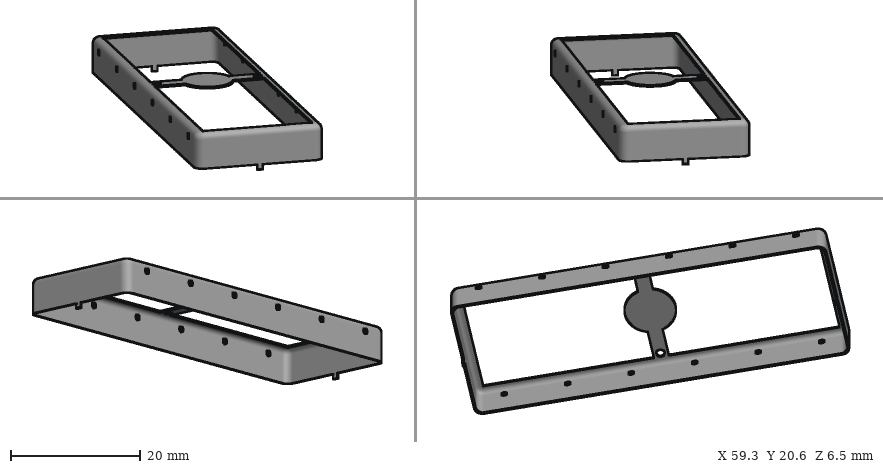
import cadquery as cq

length = 59.3
width = 20.6
total_height = 6.5
tab_height = 0.85
body_height = total_height - tab_height
corner_radius = 1.35
top_radius = 1.0

wall = 0.3
top_thickness = 0.3
rim_width = 1.5

bridge_width = 2.4
disk_diameter = 8.0
bridge_hole_diameter = 1.3
bridge_hole_offset = 8.1

side_hole_diameter = 0.9
side_hole_count = 6
side_hole_pitch = 10.0
side_hole_depth_from_top = 1.55

tab_width = 0.9
tab_thickness = 0.3
tab_lip_height = 0.1
tab_lip_overhang = 0.03

body_length = length - 2 * tab_lip_overhang


def make_shell():
    """Open-bottomed box with rounded outer edges and a thin top."""
    outer = cq.Workplane("XY").box(body_length, width, body_height, centered=(True, True, False))
    outer = outer.edges("|Z").fillet(corner_radius)
    outer = outer.faces(">Z").edges().fillet(top_radius)
    cavity = cq.Workplane("XY").box(
        body_length - 2 * wall,
        width - 2 * wall,
        body_height - top_thickness,
        centered=(True, True, False),
    )
    cavity = cavity.edges("|Z").fillet(corner_radius - wall)
    cavity = cavity.faces(">Z").edges().fillet(top_radius - wall)
    return outer.cut(cavity)


def make_window():
    """Rectangular top opening, leaving the strap and disk standing."""
    opening_length = body_length - 2 * rim_width
    opening_width = width - 2 * rim_width
    top_plane = cq.Workplane("XY").workplane(offset=body_height - top_thickness)
    opening = top_plane.rect(opening_length, opening_width).extrude(top_thickness)
    strap = top_plane.rect(bridge_width, width).extrude(top_thickness)
    disk = top_plane.circle(disk_diameter / 2).extrude(top_thickness)
    return opening.cut(strap).cut(disk)


def make_bridge_holes():
    return (
        cq.Workplane("XY")
        .pushPoints([(0, side * bridge_hole_offset) for side in (-1, 1)])
        .circle(bridge_hole_diameter / 2)
        .extrude(body_height)
    )


def make_side_holes():
    return (
        cq.Workplane("XZ")
        .center(0, body_height - side_hole_depth_from_top)
        .rarray(side_hole_pitch, 0.6, side_hole_count, 1)
        .circle(side_hole_diameter / 2)
        .extrude(width / 2, both=True)
    )


def make_tab(side):
    """Tab flush with the short wall on the given X side, with a lip at its tip."""
    stem_x = side * (body_length - tab_thickness) / 2
    stem = (
        cq.Workplane("XY")
        .box(tab_thickness, tab_width, tab_height, centered=(True, True, False))
        .translate((stem_x, 0, -tab_height))
    )
    lip_thickness = tab_thickness + tab_lip_overhang
    lip_x = side * (length - lip_thickness) / 2
    lip = (
        cq.Workplane("XY")
        .box(lip_thickness, tab_width, tab_lip_height, centered=(True, True, False))
        .translate((lip_x, 0, -tab_height))
    )
    return stem.union(lip)


result = make_shell().cut(make_window()).cut(make_bridge_holes()).cut(make_side_holes())
for side in (-1, 1):
    result = result.union(make_tab(side))